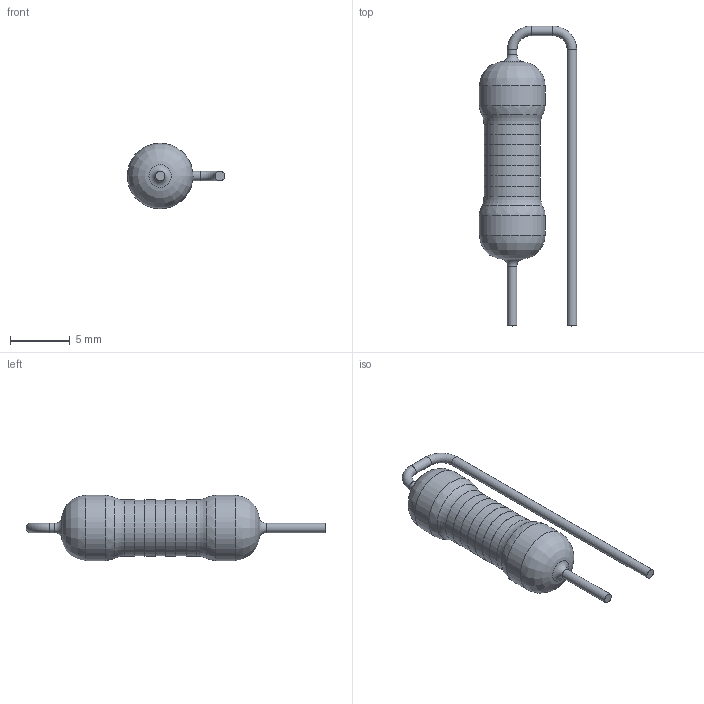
import cadquery as cq
import math


lead_radius = 0.8 / 2
lead_spacing = 5.0
bend_radius = 1.6
overall_length = 25.1
bend_centre_y = overall_length - lead_radius - bend_radius

body_length = 16.5
body_centre_y = 13.85
cap_radius = 5.5 / 2
cap_edge_radius = 2.0
cap_straight = 1.65
lead_fillet_radius = 0.6

waist_radius = 4.7 / 2
recess_radius = 4.67 / 2
band_count = 7
band_width = 0.864
waist_half_length = band_count * band_width / 2

half_length = body_length / 2
cap_outer_y = half_length - cap_edge_radius
cap_inner_y = cap_outer_y - cap_straight

cap_edge_centre_x = cap_radius - cap_edge_radius
fillet_centre_x = lead_radius + lead_fillet_radius
centre_distance = cap_edge_radius + lead_fillet_radius
centre_offset_x = fillet_centre_x - cap_edge_centre_x
fillet_outer_y = cap_outer_y + math.sqrt(centre_distance**2 - centre_offset_x**2)
contact_angle = math.atan2(fillet_outer_y - cap_outer_y, centre_offset_x)

shoulder_mid_y = (cap_inner_y + waist_half_length) / 2
shoulder_mid_radius = (cap_radius + waist_radius) / 2


def cap_edge_point(angle):
    """Point on the cap edge arc, with the angle measured from the radial direction."""
    return (
        cap_edge_centre_x + cap_edge_radius * math.cos(angle),
        cap_outer_y + cap_edge_radius * math.sin(angle),
    )


def make_half_body():
    """Revolve one half of the body, from its middle plane out along +Y."""
    profile = (
        cq.Workplane("XY")
        .lineTo(waist_radius, 0)
        .lineTo(waist_radius, waist_half_length)
        .tangentArcPoint((shoulder_mid_radius, shoulder_mid_y), relative=False)
        .tangentArcPoint((cap_radius, cap_inner_y), relative=False)
        .lineTo(cap_radius, cap_outer_y)
        .threePointArc(cap_edge_point(contact_angle / 2), cap_edge_point(contact_angle))
        .tangentArcPoint((lead_radius, fillet_outer_y), relative=False)
        .lineTo(0, fillet_outer_y)
        .close()
    )
    return profile.revolve(360, (0, 0, 0), (0, 1, 0))


def make_band_recess(index):
    """Shallow ring removed from the waist at the given band position."""
    start_y = -waist_half_length + index * band_width
    ring = (
        cq.Workplane("XY")
        .moveTo(recess_radius, start_y)
        .lineTo(cap_radius, start_y)
        .lineTo(cap_radius, start_y + band_width)
        .lineTo(recess_radius, start_y + band_width)
        .close()
    )
    return ring.revolve(360, (0, 0, 0), (0, 1, 0))


def make_body():
    """Dumbbell-shaped body with filleted lead exits and recessed bands."""
    half_body = make_half_body()
    body = half_body.union(half_body.mirror("XZ"))
    for index in range(1, band_count, 2):
        body = body.cut(make_band_recess(index))
    return body.translate((0, body_centre_y, 0))


def make_lead():
    """Wire through the body axis, bent over and brought back beside it."""
    straight_across = lead_spacing - 2 * bend_radius
    path = (
        cq.Workplane("XY")
        .lineTo(0, bend_centre_y)
        .tangentArcPoint((bend_radius, bend_radius))
        .line(straight_across, 0)
        .tangentArcPoint((bend_radius, -bend_radius))
        .lineTo(lead_spacing, 0)
    )
    return cq.Workplane("XZ").circle(lead_radius).sweep(path)


result = make_body().union(make_lead())